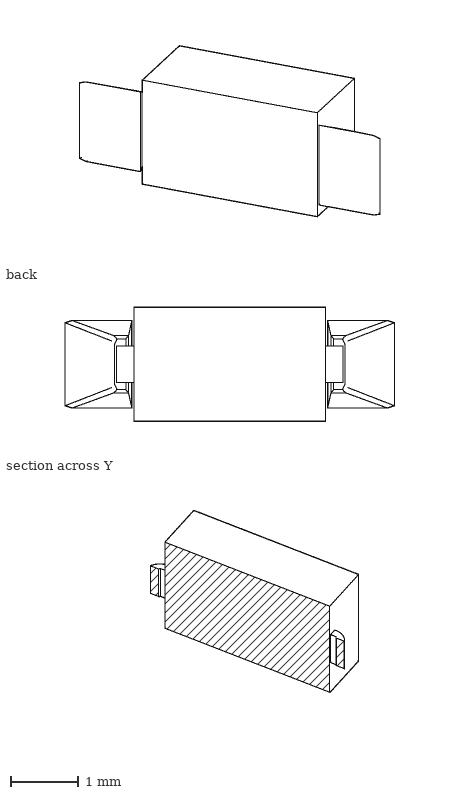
import cadquery as cq

total_length = 4.9
body_length = 2.85
body_depth = 1.35
body_height = 1.7

end_x = total_length / 2
foot_gap = 0.03
foot_half_height = 0.65
foot_corner_run = 0.105
foot_corner_drop = 0.035
shoulder_y = 0.465
shoulder_outer_x = 1.76
shoulder_inner_x = 1.505
shoulder_half_height = 0.425
crown_y = 0.5
crown_outer_x = 1.71
crown_inner_x = 1.545
crown_half_height = 0.375
crown_corner_run = 0.035
crown_corner_drop = 0.08

lead_width = 0.55
lead_top_y = 0.655
lead_thickness = 0.122
lead_mid_x = 1.57
lead_mid_y = 0.625
lead_tip_x = 1.685
lead_inner_bend_x = 1.52
lead_inner_tip_x = crown_inner_x
lead_embed = 0.02


def solder_section(y, inner_x, outer_x, half_height, corner_run, corner_drop):
    """Closed outline in a plane of constant Y, with both outer corners cut."""
    shoulder_x = outer_x - corner_run
    outer_half_height = half_height - corner_drop
    points = [
        (inner_x, -half_height),
        (shoulder_x, -half_height),
        (outer_x, -outer_half_height),
        (outer_x, outer_half_height),
        (shoulder_x, half_height),
        (inner_x, half_height),
    ]
    return cq.Wire.makePolygon([cq.Vector(x, y, z) for x, z in points], close=True)


def make_solder():
    foot = solder_section(0, body_length / 2 + foot_gap, end_x, foot_half_height,
                          foot_corner_run, foot_corner_drop)
    shoulder = solder_section(shoulder_y, shoulder_inner_x, shoulder_outer_x, shoulder_half_height,
                              crown_corner_run, crown_corner_drop)
    crown = solder_section(crown_y, crown_inner_x, crown_outer_x, crown_half_height,
                           crown_corner_run, crown_corner_drop)
    return cq.Workplane(obj=cq.Solid.makeLoft([foot, shoulder, crown], True))


def make_lead():
    body_face_x = body_length / 2
    underside_y = lead_top_y - lead_thickness
    return (
        cq.Workplane("XY")
        .moveTo(body_face_x, lead_top_y)
        .threePointArc((lead_mid_x, lead_mid_y), (lead_tip_x, crown_y))
        .lineTo(lead_tip_x, crown_y - lead_embed)
        .lineTo(lead_inner_tip_x, crown_y - lead_embed)
        .lineTo(lead_inner_tip_x, crown_y)
        .lineTo(lead_inner_bend_x, underside_y)
        .lineTo(body_face_x, underside_y)
        .close()
        .extrude(lead_width / 2, both=True)
    )


body = cq.Workplane("XY").box(body_length, body_depth, body_height, centered=(True, False, True))
terminal = make_lead().union(make_solder())
result = body.union(terminal).union(terminal.mirror("YZ"))